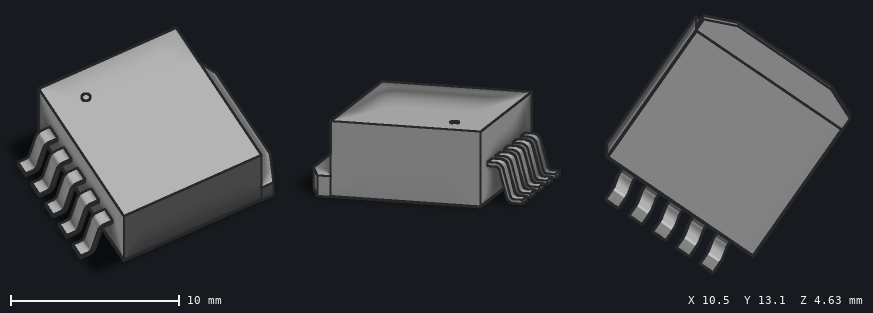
import cadquery as cq
import math

WIDTH = 10.54
HEIGHT = 4.63
TOTAL_LENGTH = 13.08
STANDOFF = 0.05
LEAD_REACH = 2.16
TAB_REACH = 1.65
HOUSING_FRONT = LEAD_REACH
HOUSING_BACK = TOTAL_LENGTH - TAB_REACH

TAB_THICKNESS = 1.27
PAD_INSET = 0.05
TAB_CORNER_X = 1.94
TAB_CORNER_Y = 0.82

LEAD_COUNT = 5
LEAD_PITCH = 1.7
LEAD_WIDTH = 0.95
LEAD_THICKNESS = 0.25
LEAD_TOP = 2.46
LEAD_BOTTOM = STANDOFF
LEAD_SLOPE = math.radians(75)
SHOULDER_LENGTH = 0.88
INNER_BEND_RADIUS = 0.27
OUTER_BEND_RADIUS = 0.5

MARKER_DIAMETER = 0.52
MARKER_DEPTH = 0.05
MARKER_X = -3.4
MARKER_Y = HOUSING_FRONT + 2.17


def make_marker():
    return (
        cq.Workplane("XY", origin=(MARKER_X, MARKER_Y, HEIGHT - MARKER_DEPTH))
        .circle(MARKER_DIAMETER / 2)
        .extrude(MARKER_DEPTH)
    )


def make_housing(marker):
    block = cq.Workplane("XY").box(
        WIDTH, HOUSING_BACK - HOUSING_FRONT, HEIGHT - STANDOFF, centered=(True, False, False)
    )
    return block.translate((0, HOUSING_FRONT, STANDOFF)).cut(marker)


def make_tab():
    half = WIDTH / 2
    tongue = (
        cq.Workplane("XY")
        .moveTo(-half, HOUSING_BACK)
        .lineTo(half, HOUSING_BACK)
        .lineTo(half, TOTAL_LENGTH - TAB_CORNER_Y)
        .lineTo(half - TAB_CORNER_X, TOTAL_LENGTH)
        .lineTo(-half + TAB_CORNER_X, TOTAL_LENGTH)
        .lineTo(-half, TOTAL_LENGTH - TAB_CORNER_Y)
        .close()
        .extrude(TAB_THICKNESS)
    )
    pad_front = HOUSING_FRONT + PAD_INSET
    pad = cq.Workplane("XY").box(
        WIDTH - 2 * PAD_INSET, HOUSING_BACK - pad_front, STANDOFF, centered=(True, False, False)
    )
    return tongue.union(pad.translate((0, pad_front, 0)))


def make_lead(center_x):
    drop = LEAD_TOP - LEAD_BOTTOM - LEAD_THICKNESS
    run = drop / math.tan(LEAD_SLOPE)
    miter = LEAD_THICKNESS * math.tan(LEAD_SLOPE / 2)
    upper_outer_y = HOUSING_FRONT - SHOULDER_LENGTH
    upper_inner_y = upper_outer_y + miter
    lower_inner_y = upper_outer_y - run
    lower_outer_y = upper_inner_y - run
    foot_top = LEAD_BOTTOM + LEAD_THICKNESS
    strip = (
        cq.Workplane("YZ", origin=(center_x - LEAD_WIDTH / 2, 0, 0))
        .moveTo(HOUSING_FRONT, LEAD_TOP)
        .lineTo(upper_outer_y, LEAD_TOP)
        .lineTo(lower_inner_y, foot_top)
        .lineTo(0, foot_top)
        .lineTo(0, LEAD_BOTTOM)
        .lineTo(lower_outer_y, LEAD_BOTTOM)
        .lineTo(upper_inner_y, LEAD_TOP - LEAD_THICKNESS)
        .lineTo(HOUSING_FRONT, LEAD_TOP - LEAD_THICKNESS)
        .close()
        .extrude(LEAD_WIDTH)
    )

    def round_edge(lead, y, z, radius):
        edge = cq.selectors.NearestToPointSelector((center_x, y, z))
        return lead.edges("|X").edges(edge).fillet(radius)

    lead = round_edge(strip, upper_outer_y, LEAD_TOP, OUTER_BEND_RADIUS)
    lead = round_edge(lead, upper_inner_y, LEAD_TOP - LEAD_THICKNESS, INNER_BEND_RADIUS)
    lead = round_edge(lead, lower_inner_y, foot_top, INNER_BEND_RADIUS)
    return round_edge(lead, lower_outer_y, LEAD_BOTTOM, OUTER_BEND_RADIUS)


marker = make_marker()
housing = make_housing(marker)
tab = make_tab()
first_lead_x = -LEAD_PITCH * (LEAD_COUNT - 1) / 2
leads = [make_lead(first_lead_x + i * LEAD_PITCH) for i in range(LEAD_COUNT)]

result = cq.Compound.makeCompound(
    [housing.val(), tab.val(), marker.val(), *[lead.val() for lead in leads]]
)